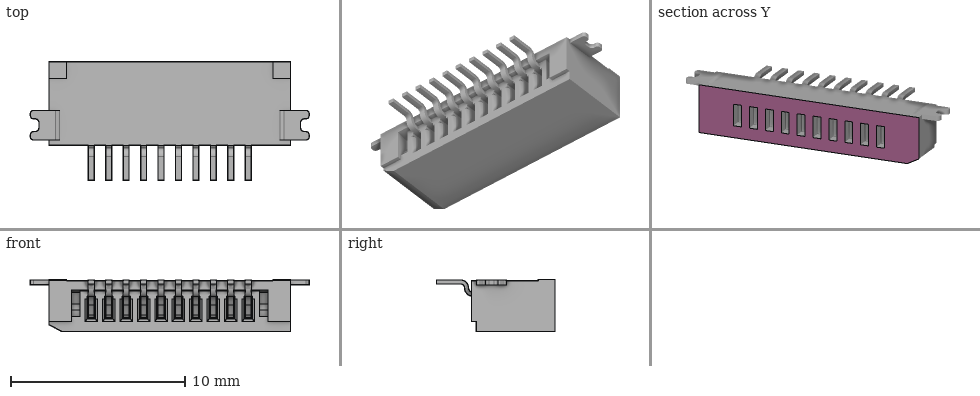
import cadquery as cq
import math


OVERALL_LENGTH = 16.0
BODY_LENGTH = 13.85
BODY_DEPTH = 4.8
BODY_HEIGHT = 2.93
SETBACK = 0.27
LIP_HEIGHT = 0.58
CORNER_CUT_WIDTH = 0.75
CORNER_CUT_HEIGHT = 0.4

PAD_LENGTH = 1.0
PAD_DEPTH = 0.98
PAD_RISE = 0.08

RECESS_LENGTH = 11.26
RECESS_TOP = 2.4
ROOF_DROP = 0.15

POCKET_WIDTH = 0.48
POCKET_BOTTOM = 0.86
POCKET_FLOOR_Y = 0.77
LEDGE_RUN = 0.25
LEDGE_TOP = 1.25
LEDGE_SLOPE_TOP = 1.58

CONTACT_COUNT = 10
PITCH = 1.0
CHANNEL_WIDTH = 0.46
CHANNEL_BOTTOM = 0.75
CHANNEL_TOP = 2.03
MOUTH_WIDTH = 0.72
MOUTH_TOP = 1.87
MOUTH_DEPTH = 0.25

LEAD_WIDTH = 0.35
LEAD_THICKNESS = 0.24
LEAD_REACH = 2.0
LEAD_TOP = 2.98
LEAD_RISER_Y = -0.27
LEAD_ROOT_Y = 1.6

BLADE_REAR_Y = 1.92
BLADE_FRONT_Y = 1.2
BLADE_WAIST_Y = 1.38
BLADE_TOE_Y = 1.0
BLADE_CORNER_Z = 1.52
BLADE_TOE_TOP = 0.96
BLADE_BOTTOM = 0.82

TAB_TOP = 2.98
TAB_THICKNESS = 0.29
TAB_WIDTH = 1.71
TAB_LENGTH = 1.66
TAB_FRONT_Y = 0.3
TAB_BEVEL_RUN = 0.2
TAB_CORNER_RADIUS = 0.2
NOTCH_DEPTH = 0.5
NOTCH_WIDTH = 0.72
NOTCH_RADIUS = 0.22


def extrude_along_x(profile, x_start, length):
    """Extrude a closed Y-Z outline in the +X direction."""
    return profile.extrude(length).translate((x_start, 0, 0))


def mirrored_pair(solid):
    return solid.union(solid.mirror("YZ"))


def make_housing():
    half = BODY_LENGTH / 2
    end_outline = (
        cq.Workplane("YZ")
        .moveTo(SETBACK, 0)
        .lineTo(BODY_DEPTH, 0)
        .lineTo(BODY_DEPTH, BODY_HEIGHT)
        .lineTo(0, BODY_HEIGHT)
        .lineTo(0, LIP_HEIGHT)
        .lineTo(SETBACK, LIP_HEIGHT)
        .close()
    )
    body = extrude_along_x(end_outline, -half, BODY_LENGTH)
    corner_cut = (
        cq.Workplane("XZ")
        .moveTo(-half, 0)
        .lineTo(-half + CORNER_CUT_WIDTH, 0)
        .lineTo(-half, CORNER_CUT_HEIGHT)
        .close()
        .extrude(-BODY_DEPTH)
    )
    pad = cq.Workplane("XY").box(PAD_LENGTH, PAD_DEPTH, PAD_RISE, centered=False)
    pad = pad.translate((-half, BODY_DEPTH - PAD_DEPTH, BODY_HEIGHT))
    return body.cut(corner_cut).union(mirrored_pair(pad))


def roof_height(y):
    """Height of the sloping recess roof at a given distance behind the front face."""
    return RECESS_TOP - ROOF_DROP * y / POCKET_FLOOR_Y


def make_recess():
    outline = (
        cq.Workplane("YZ")
        .moveTo(0, LIP_HEIGHT)
        .lineTo(SETBACK, LIP_HEIGHT)
        .lineTo(SETBACK, roof_height(SETBACK))
        .lineTo(0, RECESS_TOP)
        .close()
    )
    return extrude_along_x(outline, -RECESS_LENGTH / 2, RECESS_LENGTH)


def make_end_pocket():
    ledge_y = POCKET_FLOOR_Y - LEDGE_RUN
    outline = (
        cq.Workplane("YZ")
        .moveTo(SETBACK, POCKET_BOTTOM)
        .lineTo(ledge_y, POCKET_BOTTOM)
        .lineTo(ledge_y, LEDGE_TOP)
        .lineTo(POCKET_FLOOR_Y, LEDGE_SLOPE_TOP)
        .lineTo(POCKET_FLOOR_Y, roof_height(POCKET_FLOOR_Y))
        .lineTo(SETBACK, roof_height(SETBACK))
        .close()
    )
    return extrude_along_x(outline, -RECESS_LENGTH / 2, POCKET_WIDTH)


def make_channel():
    """Through channel with a mouth that tapers in at both sides and the bottom."""
    channel = cq.Workplane("XY").box(
        CHANNEL_WIDTH, BODY_DEPTH, CHANNEL_TOP - CHANNEL_BOTTOM, centered=(True, False, False)
    )
    channel = channel.translate((0, 0, CHANNEL_BOTTOM))
    mouth_middle = (LIP_HEIGHT + MOUTH_TOP) / 2
    throat_middle = (CHANNEL_BOTTOM + MOUTH_TOP) / 2
    mouth = (
        cq.Workplane("XZ", origin=(0, SETBACK, mouth_middle))
        .rect(MOUTH_WIDTH, MOUTH_TOP - LIP_HEIGHT)
        .workplane(offset=-MOUTH_DEPTH)
        .center(0, throat_middle - mouth_middle)
        .rect(CHANNEL_WIDTH, MOUTH_TOP - CHANNEL_BOTTOM)
        .loft(ruled=True)
    )
    return channel.union(mouth)


def make_lead():
    """Lead that leaves the housing, rises through two quarter bends and runs forward."""
    root_bottom = CHANNEL_TOP
    root_top = root_bottom + LEAD_THICKNESS
    foot_bottom = LEAD_TOP - LEAD_THICKNESS
    bend_radius = (foot_bottom - root_bottom) / 2
    inner = bend_radius - LEAD_THICKNESS / 2
    outer = bend_radius + LEAD_THICKNESS / 2
    root_bend_y = LEAD_RISER_Y + bend_radius
    foot_bend_y = LEAD_RISER_Y - bend_radius
    middle_z = root_bottom + outer
    rear_face_y = LEAD_RISER_Y + LEAD_THICKNESS / 2
    front_face_y = LEAD_RISER_Y - LEAD_THICKNESS / 2
    diagonal = math.sqrt(0.5)
    outline = (
        cq.Workplane("YZ")
        .moveTo(LEAD_ROOT_Y, root_bottom)
        .lineTo(LEAD_ROOT_Y, root_top)
        .lineTo(root_bend_y, root_top)
        .threePointArc(
            (root_bend_y - inner * diagonal, middle_z - inner * diagonal), (rear_face_y, middle_z)
        )
        .threePointArc(
            (foot_bend_y + outer * diagonal, middle_z + outer * diagonal), (foot_bend_y, LEAD_TOP)
        )
        .lineTo(-LEAD_REACH, LEAD_TOP)
        .lineTo(-LEAD_REACH, foot_bottom)
        .lineTo(foot_bend_y, foot_bottom)
        .threePointArc(
            (foot_bend_y + inner * diagonal, middle_z + inner * diagonal), (front_face_y, middle_z)
        )
        .threePointArc(
            (root_bend_y - outer * diagonal, middle_z - outer * diagonal), (root_bend_y, root_bottom)
        )
        .close()
    )
    return extrude_along_x(outline, -LEAD_WIDTH / 2, LEAD_WIDTH)


def make_blade():
    """Contact blade hanging from the lead, with two hollows in its front edge."""
    blade_top = CHANNEL_TOP + LEAD_THICKNESS / 2
    toe_run = BLADE_FRONT_Y - BLADE_TOE_Y
    toe_rise = BLADE_CORNER_Z - BLADE_TOE_TOP
    toe_radius = (toe_run**2 + toe_rise**2) / (2 * toe_run)
    outline = (
        cq.Workplane("YZ")
        .moveTo(BLADE_REAR_Y, BLADE_BOTTOM)
        .lineTo(BLADE_REAR_Y, blade_top)
        .lineTo(BLADE_FRONT_Y, blade_top)
        .lineTo(BLADE_FRONT_Y, CHANNEL_TOP)
        .threePointArc(
            (BLADE_WAIST_Y, (CHANNEL_TOP + BLADE_CORNER_Z) / 2), (BLADE_FRONT_Y, BLADE_CORNER_Z)
        )
        .radiusArc((BLADE_TOE_Y, BLADE_TOE_TOP), toe_radius)
        .lineTo(BLADE_TOE_Y, BLADE_BOTTOM)
        .close()
    )
    return extrude_along_x(outline, -LEAD_WIDTH / 2, LEAD_WIDTH)


def make_tab():
    """Left-hand solder tab: notched outer end, bevelled inner end."""
    outer_x = -OVERALL_LENGTH / 2
    inner_x = outer_x + TAB_LENGTH
    middle_y = TAB_FRONT_Y + TAB_WIDTH / 2
    side_outline = (
        cq.Workplane("XZ")
        .moveTo(outer_x, TAB_TOP - TAB_THICKNESS)
        .lineTo(inner_x, TAB_TOP - TAB_THICKNESS)
        .lineTo(inner_x, BODY_HEIGHT)
        .lineTo(inner_x - TAB_BEVEL_RUN, TAB_TOP)
        .lineTo(outer_x, TAB_TOP)
        .close()
    )
    tab = side_outline.extrude(-TAB_WIDTH).translate((0, TAB_FRONT_Y, 0))
    notch = (
        cq.Workplane("XY")
        .box(NOTCH_DEPTH, NOTCH_WIDTH, BODY_HEIGHT, centered=(False, True, False))
        .edges("|Z and >X")
        .fillet(NOTCH_RADIUS)
        .translate((outer_x, middle_y, TAB_TOP - BODY_HEIGHT))
    )
    return tab.cut(notch).edges("|Z and <X").fillet(TAB_CORNER_RADIUS)


housing = make_housing().cut(make_recess()).cut(mirrored_pair(make_end_pocket()))

first_contact_x = -PITCH * (CONTACT_COUNT - 1) / 2
contact_places = [(first_contact_x + i * PITCH, 0, 0) for i in range(CONTACT_COUNT)]
channel = make_channel()
contact = make_lead().union(make_blade())

for place in contact_places:
    housing = housing.cut(channel.translate(place))
for place in contact_places:
    housing = housing.union(contact.translate(place))

result = housing.union(mirrored_pair(make_tab()))